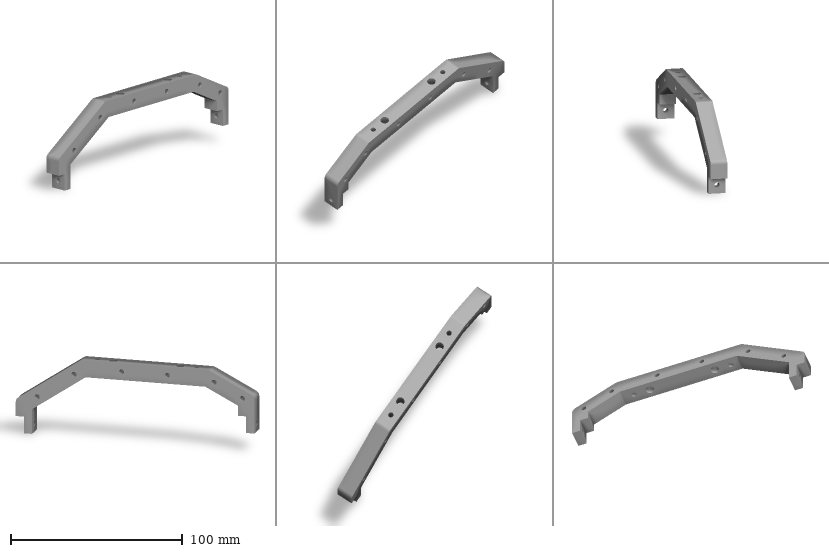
import cadquery as cq
import math

LENGTH = 145.2
BAR = 10.0
HEIGHT = 46.8
FRONT_Y = -LENGTH / 2
BACK_Y = LENGTH / 2

BACK_BEND_Y = 45.2
FRONT_BEND_Y = -33.1
BACK_SLOPE = math.radians(26.5)
FRONT_SLOPE = math.radians(33.8)
BEND_RADIUS = 3.0

LEG = 9.9
FOOT = LEG / 2
FOOT_HEIGHT = 10.0
FRONT_FOOT_Z = -HEIGHT
BACK_FOOT_Z = -36.0

SCREW_DIAMETER = 3.0
LARGE_DIAMETER = 5.0
HOLE_CENTRE_Y = 5.7
LARGE_OFFSET = 20.3
SMALL_OFFSET = 30.2
BEAM_SIDE_OFFSET = 14.0
ARM_SIDE_HOLES = [(65.4, -15.4), (48.0, -7.0), (-37.2, -8.9), (-59.5, -24.1)]


def arm_points(bend_y, end_y, slope):
    """Outer bend, outer shoulder, inner shoulder and inner bend of one sloping arm."""
    side = math.copysign(1, end_y)
    inner_bend_y = bend_y - side * BAR * math.tan(slope / 2)
    inner_end_y = end_y - side * LEG
    shoulder_z = -abs(end_y - bend_y) * math.tan(slope)
    inner_z = -BAR - abs(inner_end_y - inner_bend_y) * math.tan(slope)
    return (bend_y, 0), (end_y, shoulder_z), (inner_end_y, inner_z), (inner_bend_y, -BAR)


def round_edge(body, point, radius):
    """Round the X-direction profile edge at a (Y, Z) corner."""
    y, z = point
    edge = cq.selectors.NearestToPointSelector((0, y, z))
    return body.edges("|X").edges(edge).fillet(radius)


def make_bar():
    back_bend, back_shoulder, back_inner, back_inner_bend = arm_points(BACK_BEND_Y, BACK_Y, BACK_SLOPE)
    front_bend, front_shoulder, front_inner, front_inner_bend = arm_points(
        FRONT_BEND_Y, FRONT_Y, FRONT_SLOPE
    )
    back_step_z = BACK_FOOT_Z + FOOT_HEIGHT
    front_step_z = FRONT_FOOT_Z + FOOT_HEIGHT
    outline = [
        back_bend,
        back_shoulder,
        (BACK_Y, BACK_FOOT_Z),
        (BACK_Y - FOOT, BACK_FOOT_Z),
        (BACK_Y - FOOT, back_step_z),
        (BACK_Y - LEG, back_step_z),
        back_inner,
        back_inner_bend,
        front_inner_bend,
        front_inner,
        (FRONT_Y + LEG, FRONT_FOOT_Z),
        (FRONT_Y + FOOT, FRONT_FOOT_Z),
        (FRONT_Y + FOOT, front_step_z),
        (FRONT_Y, front_step_z),
        front_shoulder,
        front_bend,
    ]
    body = cq.Workplane("YZ").polyline(outline).close().extrude(BAR / 2, both=True)
    for corner in (back_bend, back_shoulder, front_bend, front_shoulder):
        body = round_edge(body, corner, BEND_RADIUS)
    return body


def side_holes():
    """Holes along X, through the top beam and both arms."""
    beam_holes = [(HOLE_CENTRE_Y + side * BEAM_SIDE_OFFSET, -BAR / 2) for side in (-1, 1)]
    plane = cq.Workplane("YZ").pushPoints(beam_holes + ARM_SIDE_HOLES)
    return plane.circle(SCREW_DIAMETER / 2).extrude(BAR, both=True)


def top_holes(offset, diameter):
    """A pair of vertical holes through the top beam."""
    places = [(0, HOLE_CENTRE_Y + side * offset) for side in (-1, 1)]
    return cq.Workplane("XY").pushPoints(places).circle(diameter / 2).extrude(-BAR)


def foot_hole(foot_y, foot_z):
    """A hole along Y through the thin foot of one leg."""
    plane = cq.Workplane("XZ", origin=(0, foot_y, foot_z + FOOT_HEIGHT / 2))
    return plane.circle(SCREW_DIAMETER / 2).extrude(FOOT / 2, both=True)


result = (
    make_bar()
    .cut(side_holes())
    .cut(top_holes(LARGE_OFFSET, LARGE_DIAMETER))
    .cut(top_holes(SMALL_OFFSET, SCREW_DIAMETER))
    .cut(foot_hole(BACK_Y - FOOT / 2, BACK_FOOT_Z))
    .cut(foot_hole(FRONT_Y + LEG - FOOT / 2, FRONT_FOOT_Z))
)